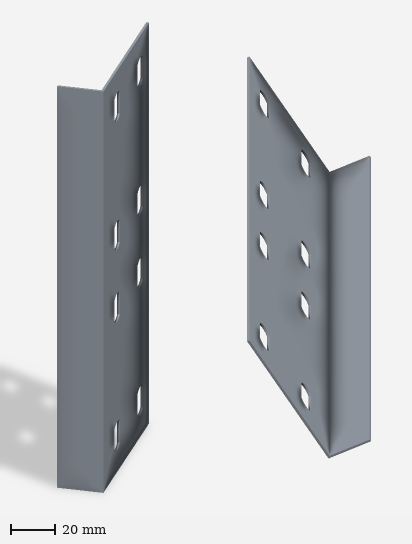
import cadquery as cq

height = 200.0
web_width = 78.8
flange_width = 21.8
thickness = 1.2

slot_height = 14.0
slot_width = 9.0
slot_edge_distance = 15.0
slot_column_spacing = 40.0
slot_end_distance = 18.0
slot_row_spacing = 64.0


def make_angle():
    """L-shaped sheet with its outer corner on the +X, -Y edge, centred in height."""
    web = cq.Workplane("XY").box(thickness, web_width, height, centered=(False, False, True))
    web = web.translate((flange_width - thickness, 0, 0))
    flange = cq.Workplane("XY").box(flange_width, thickness, height, centered=(False, False, True))
    return web.union(flange)


def make_slot(y, z):
    """Cutter through the web: a cylinder along X trimmed to the slot width."""
    web_inner_face = flange_width - thickness
    cutter_length = 3 * thickness
    cylinder = cq.Workplane("YZ").circle(slot_height / 2).extrude(cutter_length)
    flats = cq.Workplane("YZ").rect(slot_width, slot_height).extrude(cutter_length)
    return cylinder.intersect(flats).translate((web_inner_face - thickness, y, z))


outer_column = web_width - slot_edge_distance
columns = (outer_column, outer_column - slot_column_spacing)
end_row = height / 2 - slot_end_distance
middle_row = end_row - slot_row_spacing
rows = (end_row, middle_row, -middle_row, -end_row)

result = make_angle()
for y in columns:
    for z in rows:
        result = result.cut(make_slot(y, z))